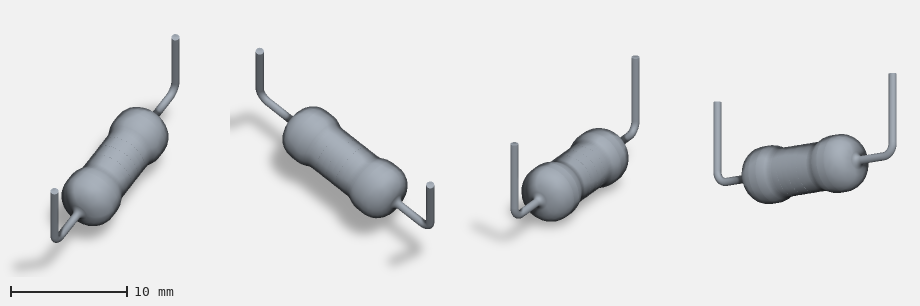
import cadquery as cq
import math


body_radius = 5.0 / 2
waist_radius = 4.27 / 2
body_half_length = 6.0
cap_collar_inner_y = 3.47
cap_collar_outer_y = 4.28
cap_round_radius = body_half_length - cap_collar_outer_y

band_radius = 4.25 / 2
band_width = 0.5625
band_pitch = 2 * band_width
band_count = 3

lead_radius = 0.7 / 2
lead_spacing = 20.0
lead_top_z = 7.1
bend_radius = 3 * lead_radius
lead_root_fillet = 0.5

convex_radius = 1.58
concave_radius = 1.42
shoulder_drop = body_radius - waist_radius
shoulder_angle = math.acos(1 - shoulder_drop / (convex_radius + concave_radius))
shoulder_length = (convex_radius + concave_radius) * math.sin(shoulder_angle)
waist_half_length = cap_collar_inner_y - shoulder_length


def on_circle(center, radius, angle):
    """Point (r, y) on a circle; the angle is measured from +r towards +y."""
    return (center[0] + radius * math.cos(angle), center[1] + radius * math.sin(angle))


def mirrored(point):
    return (point[0], -point[1])


def make_body():
    """Revolve the body outline, including the flared lead roots, about Y."""
    convex_center = (body_radius - convex_radius, cap_collar_inner_y)
    concave_center = (waist_radius + concave_radius, waist_half_length)
    waist_end = (waist_radius, waist_half_length)
    concave_mid = on_circle(concave_center, concave_radius, math.pi - shoulder_angle / 2)
    shoulder_mid = on_circle(convex_center, convex_radius, -shoulder_angle)
    convex_mid = on_circle(convex_center, convex_radius, -shoulder_angle / 2)
    collar_inner = (body_radius, cap_collar_inner_y)
    collar_outer = (body_radius, cap_collar_outer_y)

    cap_center = (body_radius - cap_round_radius, cap_collar_outer_y)
    fillet_center_r = lead_radius + lead_root_fillet
    tangent_angle = math.acos((fillet_center_r - cap_center[0]) / (cap_round_radius + lead_root_fillet))
    fillet_center = on_circle(cap_center, cap_round_radius + lead_root_fillet, tangent_angle)
    cap_mid = on_circle(cap_center, cap_round_radius, tangent_angle / 2)
    cap_rim = on_circle(cap_center, cap_round_radius, tangent_angle)
    fillet_mid = on_circle(fillet_center, lead_root_fillet, (tangent_angle + 2 * math.pi) / 2)
    lead_root = (lead_radius, fillet_center[1])
    axis_end = (0, lead_root[1])

    outline = (
        cq.Workplane("XY")
        .moveTo(*mirrored(waist_end))
        .lineTo(*waist_end)
        .threePointArc(concave_mid, shoulder_mid)
        .threePointArc(convex_mid, collar_inner)
        .lineTo(*collar_outer)
        .threePointArc(cap_mid, cap_rim)
        .threePointArc(fillet_mid, lead_root)
        .lineTo(*axis_end)
        .lineTo(*mirrored(axis_end))
        .lineTo(*mirrored(lead_root))
        .threePointArc(mirrored(fillet_mid), mirrored(cap_rim))
        .threePointArc(mirrored(cap_mid), mirrored(collar_outer))
        .lineTo(*mirrored(collar_inner))
        .threePointArc(mirrored(convex_mid), mirrored(shoulder_mid))
        .threePointArc(mirrored(concave_mid), mirrored(waist_end))
        .close()
    )
    return outline.revolve(360, (0, 0, 0), (0, 1, 0))


def make_band_cutter(center_y):
    """Ring that trims the waist down to the band radius."""
    return (
        cq.Workplane("XZ", origin=(0, center_y + band_width / 2, 0))
        .circle(body_radius)
        .circle(band_radius)
        .extrude(band_width)
    )


def make_lead():
    """Round wire from inside the body along +Y, then bent up to its tip."""
    start_y = cap_collar_outer_y
    tip_y = lead_spacing / 2
    bend_start_y = tip_y - bend_radius
    bend_mid = (
        bend_start_y + bend_radius * math.sin(math.pi / 4),
        bend_radius - bend_radius * math.cos(math.pi / 4),
    )
    path = (
        cq.Workplane("YZ")
        .moveTo(start_y, 0)
        .lineTo(bend_start_y, 0)
        .threePointArc(bend_mid, (tip_y, bend_radius))
        .lineTo(tip_y, lead_top_z)
    )
    return cq.Workplane("XZ", origin=(0, start_y, 0)).circle(lead_radius).sweep(path)


result = make_body()

for index in range(band_count):
    band_y = (index - (band_count - 1) / 2) * band_pitch
    result = result.cut(make_band_cutter(band_y))

lead = make_lead()
result = result.union(lead).union(lead.mirror("XZ"))